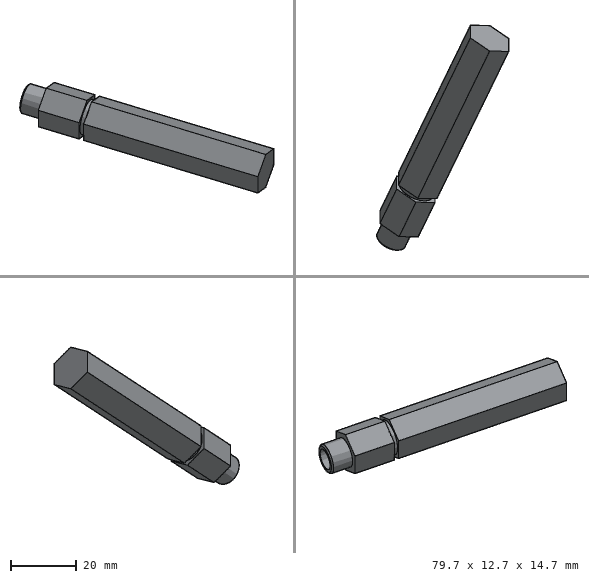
import cadquery as cq
import math

total_length = 79.65
across_flats = 12.7

spigot_length = 7.0
spigot_diameter = 9.5
spigot_chamfer = 0.5

short_hex_length = 13.5
neck_length = 1.5
neck_diameter = 11.3

bore_diameter = 6.6
bore_depth = spigot_length + short_hex_length
drill_point_angle = 118.0

across_corners = across_flats / math.cos(math.radians(30))

short_hex_start = spigot_length
neck_start = short_hex_start + short_hex_length
long_hex_start = neck_start + neck_length


def section_at(x):
    """Workplane across the part at x, facing +X."""
    return cq.Workplane("YZ").workplane(offset=x)


def hexagon(start, end):
    """Hexagonal bar with corners up and down and flats facing -Y and +Y."""
    return (
        section_at(start)
        .transformed(rotate=(0, 0, 90))
        .polygon(6, across_corners)
        .extrude(end - start)
    )


def spigot():
    """Round end with a chamfered rim."""
    return (
        section_at(0)
        .circle(spigot_diameter / 2)
        .extrude(spigot_length)
        .faces("<X")
        .chamfer(spigot_chamfer)
    )


def neck():
    """Round waist between the two hexagons."""
    return section_at(neck_start).circle(neck_diameter / 2).extrude(neck_length)


def bore():
    """Drilled hole with a conical bottom, revolved about the X axis."""
    radius = bore_diameter / 2
    point_length = radius / math.tan(math.radians(drill_point_angle / 2))
    return (
        cq.Workplane("XZ")
        .moveTo(0, 0)
        .lineTo(0, radius)
        .lineTo(bore_depth, radius)
        .lineTo(bore_depth + point_length, 0)
        .close()
        .revolve(360, (0, 0, 0), (1, 0, 0))
    )


result = (
    spigot()
    .union(hexagon(short_hex_start, neck_start))
    .union(neck())
    .union(hexagon(long_hex_start, total_length))
    .cut(bore())
)